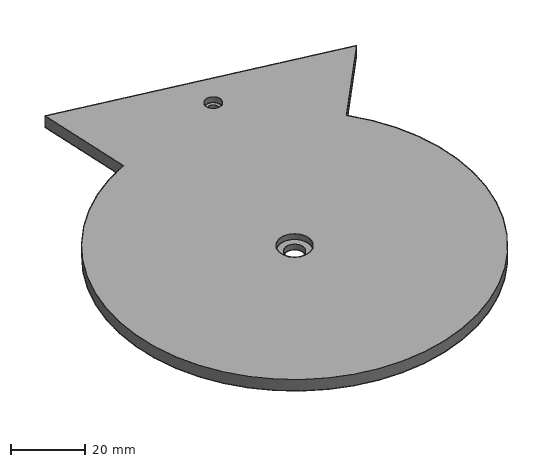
import cadquery as cq
import math

thickness = 4.0
disc_radius = 57.5

tail_end_x = -75.0
tail_half_width = 44.65
tail_edge_angle = 25.0

pivot_x = 0.0
pivot_bore_diameter = 6.0
pivot_recess_diameter = 10.0
pivot_recess_depth = 2.0
tail_hole_x = -65.0
tail_hole_bore_diameter = 3.0
tail_hole_recess_diameter = 5.0
tail_hole_recess_depth = 2.0


def make_plate():
    """Disc joined to a tail that narrows towards the disc centre."""
    disc = cq.Workplane("XY").circle(disc_radius).extrude(thickness)
    taper = -tail_end_x * math.tan(math.radians(tail_edge_angle))
    inner_half_width = tail_half_width - taper
    tail = (
        cq.Workplane("XY")
        .moveTo(tail_end_x, -tail_half_width)
        .lineTo(0, -inner_half_width)
        .lineTo(0, inner_half_width)
        .lineTo(tail_end_x, tail_half_width)
        .close()
        .extrude(thickness)
    )
    return disc.union(tail)


def cut_stepped_hole(body, x, bore_diameter, recess_diameter, recess_depth):
    """Cut a through bore with a flat-bottomed recess in the top face."""
    return (
        body.faces(">Z")
        .workplane(origin=(x, 0, thickness))
        .cboreHole(bore_diameter, recess_diameter, recess_depth)
    )


result = make_plate()
result = cut_stepped_hole(
    result, pivot_x, pivot_bore_diameter, pivot_recess_diameter, pivot_recess_depth
)
result = cut_stepped_hole(
    result, tail_hole_x, tail_hole_bore_diameter, tail_hole_recess_diameter, tail_hole_recess_depth
)